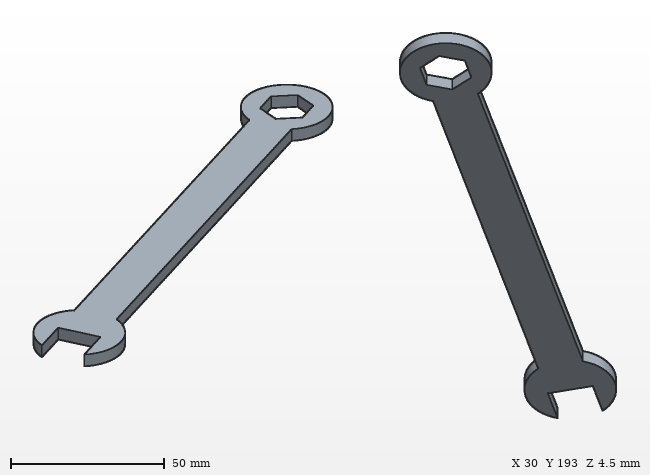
import cadquery as cq
import math

total_length = 193.0
head_diameter = 30.0
thickness = 4.5
handle_width = 15.0
wrench_size = 15.0

head_radius = head_diameter / 2
tip_reach = math.sqrt(head_radius**2 - (wrench_size / 2) ** 2)
head_spacing = total_length - head_radius - tip_reach
hex_corner_diameter = wrench_size / math.cos(math.pi / 6)


def round_head(y):
    """Disc-shaped wrench head centred on the handle axis."""
    return cq.Workplane("XY").center(0, y).circle(head_radius).extrude(thickness)


def handle():
    """Straight bar running between the two head centres."""
    return (
        cq.Workplane("XY")
        .rect(handle_width, head_spacing)
        .extrude(thickness)
        .translate((0, head_spacing / 2, 0))
    )


def hex_hole():
    """Hexagonal socket with two corners on the handle axis."""
    return (
        cq.Workplane("XY")
        .polygon(6, hex_corner_diameter)
        .extrude(thickness)
        .rotate((0, 0, 0), (0, 0, 1), 90)
        .translate((0, head_spacing, 0))
    )


def jaw_slot():
    """Square-bottomed slot from the open head's centre out past its tips."""
    return (
        cq.Workplane("XY")
        .rect(wrench_size, head_radius)
        .extrude(thickness)
        .translate((0, -head_radius / 2, 0))
    )


body = round_head(0).union(handle()).union(round_head(head_spacing))
result = body.cut(hex_hole()).cut(jaw_slot())